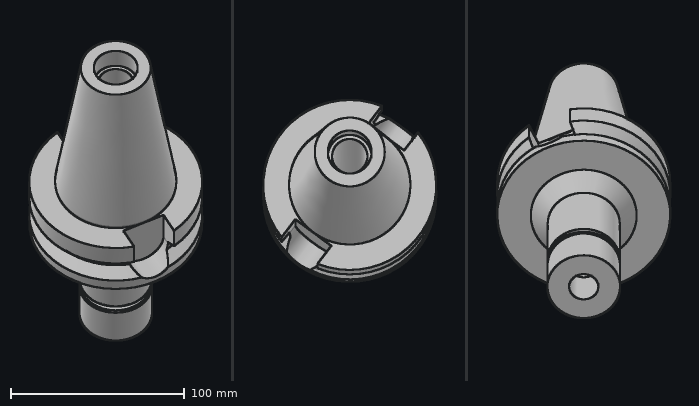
import cadquery as cq

total_length = 221.8
nut_length = 25.3
collar_top = 27.3
groove_top = 30.5
shank_top = 72.0
flange_bottom = 81.8
rim_top = 89.4
vee_floor_bottom = 94.3
vee_floor_top = 100.3
vee_top = 105.0
flange_top = 118.9
taper_bottom = 120.2

flange_radius = 50.02
vee_floor_radius = 42.5
flare_radius = 30.5
shank_radius = 20.8
groove_radius = 17.7
taper_large_radius = 35.0
taper_ratio = 7 / 24
taper_small_radius = taper_large_radius - taper_ratio * (total_length - taper_bottom) / 2

slot_width = 26.0
slot_wall_distance = 35.0
slot_bottom = 86.3

counterbore_radius = 12.6
counterbore_depth = 13.5
bore_radius = 10.2
lower_bore_radius = 9.5
lower_bore_top = shank_top

nut_radius = 21.0
nut_bore_radius = 8.5


def revolved_blank():
    """Solid of revolution: shank, V-grooved flange and steep taper."""
    profile = [
        (0, nut_length),
        (shank_radius, nut_length),
        (shank_radius, collar_top),
        (groove_radius, collar_top),
        (groove_radius, groove_top),
        (shank_radius, groove_top),
        (shank_radius, shank_top),
        (flare_radius, flange_bottom),
        (flange_radius, flange_bottom),
        (flange_radius, rim_top),
        (vee_floor_radius, vee_floor_bottom),
        (vee_floor_radius, vee_floor_top),
        (flange_radius, vee_top),
        (flange_radius, flange_top),
        (taper_large_radius, flange_top),
        (taper_large_radius, taper_bottom),
        (taper_small_radius, total_length),
        (0, total_length),
    ]
    return cq.Workplane("XZ").polyline(profile).close().revolve(360, (0, 0), (0, 1))


def drive_slot(side):
    """Round-bottomed slot cutter on the +X (side = 1) or -X (side = -1) flank."""
    slot_radius = slot_width / 2
    arc_centre = slot_bottom + slot_radius
    return (
        cq.Workplane("YZ", origin=(side * slot_wall_distance, 0, 0))
        .moveTo(-slot_radius, flange_top)
        .lineTo(-slot_radius, arc_centre)
        .threePointArc((0, slot_bottom), (slot_radius, arc_centre))
        .lineTo(slot_radius, flange_top)
        .close()
        .extrude(side * flange_radius)
    )


def vertical_cylinder(radius, bottom, top):
    return cq.Workplane("XY", origin=(0, 0, bottom)).circle(radius).extrude(top - bottom)


def make_holder():
    holder = revolved_blank()
    for side in (-1, 1):
        holder = holder.cut(drive_slot(side))
    counterbore_floor = total_length - counterbore_depth
    holder = holder.cut(vertical_cylinder(counterbore_radius, counterbore_floor, total_length))
    holder = holder.cut(vertical_cylinder(bore_radius, lower_bore_top, counterbore_floor))
    return holder.cut(vertical_cylinder(lower_bore_radius, nut_length, lower_bore_top))


def make_nut():
    return cq.Workplane("XY").circle(nut_radius).circle(nut_bore_radius).extrude(nut_length)


holder = make_holder()
nut = make_nut()

result = cq.Compound.makeCompound([holder.val(), nut.val()])